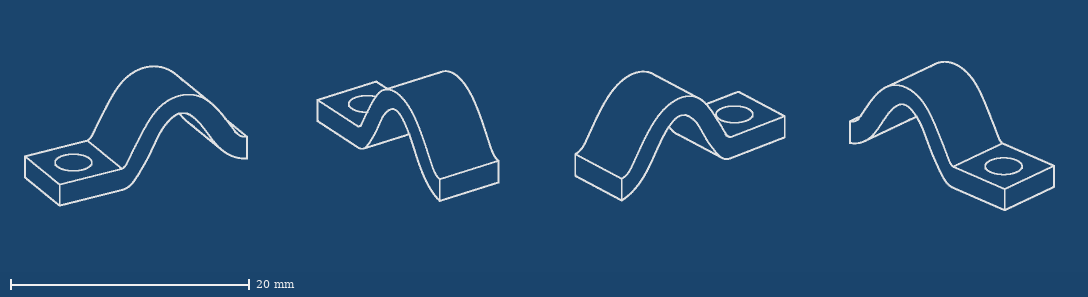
import cadquery as cq

length = 18.0
width = 6.0
height = 7.52

pad_length = width
pad_thickness = 2.0
hole_diameter = 3.1

crown_y = 11.55
crown_thickness = 1.67
tip_top_z = 2.05

upper_rise = [(6.23, 2.12), (6.6, 2.66), (7.27, 3.83), (8.35, 5.58), (9.65, 6.95)]
upper_fall = [(13.55, 6.91), (15.28, 5.2), (16.65, 3.17), (17.3, 2.34)]
lower_fall = [(16.87, 0.4), (15.71, 1.26), (14.42, 2.97), (13.12, 4.86)]
lower_rise = [(10.08, 5.02), (8.78, 2.93), (7.49, 0.95), (6.75, 0.22)]


def strap_profile():
    """Closed side outline of the pad and arch on the -X face."""
    upper_crown = (crown_y, height)
    lower_crown = (crown_y, height - crown_thickness)
    upper_curve = upper_rise + [upper_crown] + upper_fall + [(length, tip_top_z)]
    lower_curve = lower_fall + [lower_crown] + lower_rise + [(pad_length, 0)]
    return (
        cq.Workplane("YZ", origin=(-width / 2, 0, 0))
        .moveTo(0, 0)
        .lineTo(0, pad_thickness)
        .lineTo(pad_length, pad_thickness)
        .spline(upper_curve, includeCurrent=True)
        .lineTo(length, 0)
        .spline(lower_curve, includeCurrent=True)
        .close()
    )


def pad_hole():
    """Cylinder that cuts the screw hole through the middle of the pad."""
    return (
        cq.Workplane("XY")
        .center(0, pad_length / 2)
        .circle(hole_diameter / 2)
        .extrude(pad_thickness)
    )


strap = strap_profile().extrude(width)
result = strap.cut(pad_hole())